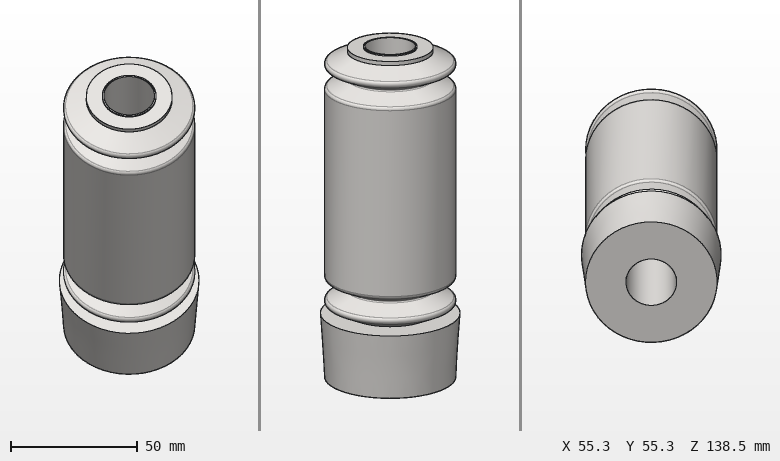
import cadquery as cq
import math

total_height = 138.52
bore_radius = 20 / 2

base_height = 26.75
base_bottom_radius = 52 / 2
base_top_radius = 55.3 / 2
base_neck_radius = 16.6

body_radius = 52 / 2
crest_round = 1.5
neck_radius = 17.25
neck_round = 0.4
half_pitch = 5.3

collar_radius = 34 / 2
collar_height = 1.7
rim_height = 0.5
rim_radius = 21.3 / 2

crest_centre = body_radius - crest_round
neck_centre = neck_radius + neck_round
reach = crest_centre - neck_centre
centre_distance = math.hypot(reach, half_pitch)
flank_angle = math.atan2(half_pitch, reach) - math.asin((crest_round + neck_round) / centre_distance)

crest_tangent_radius = crest_centre + crest_round * math.sin(flank_angle)
crest_tangent_offset = crest_round * math.cos(flank_angle)
neck_tangent_radius = neck_centre - neck_round * math.sin(flank_angle)
neck_tangent_offset = neck_round * math.cos(flank_angle)

shoulder_angle = (math.pi / 2 - flank_angle) / 2
shoulder_mid_radius = crest_centre + crest_round * math.cos(shoulder_angle)
shoulder_mid_offset = crest_round * math.sin(shoulder_angle)


def end_flank_height(end_radius):
    """Height between a crest and the point where its outer flank comes in to end_radius."""
    return crest_tangent_offset + (crest_tangent_radius - end_radius) * math.tan(flank_angle)


collar_top = total_height - rim_height
collar_bottom = collar_top - collar_height
lower_crest = base_height + end_flank_height(base_neck_radius)
lower_neck = lower_crest + half_pitch
barrel_bottom = lower_neck + half_pitch
upper_crest = collar_bottom - end_flank_height(collar_radius)
upper_neck = upper_crest - half_pitch
barrel_top = upper_neck - half_pitch


def add_crest(profile, z):
    """Run up the flank to the ridge at height z and around its rounded crest."""
    return (
        profile.lineTo(crest_tangent_radius, z - crest_tangent_offset)
        .threePointArc((body_radius, z), (crest_tangent_radius, z + crest_tangent_offset))
    )


def add_neck(profile, z):
    """Run along the flank to the neck at height z and around its rounded bottom."""
    return (
        profile.lineTo(neck_tangent_radius, z - neck_tangent_offset)
        .threePointArc((neck_radius, z), (neck_tangent_radius, z + neck_tangent_offset))
    )


def add_barrel(profile):
    """Run up the long cylinder, with a rounded shoulder at each end."""
    return (
        profile.lineTo(crest_tangent_radius, barrel_bottom - crest_tangent_offset)
        .threePointArc(
            (shoulder_mid_radius, barrel_bottom - shoulder_mid_offset),
            (body_radius, barrel_bottom),
        )
        .lineTo(body_radius, barrel_top)
        .threePointArc(
            (shoulder_mid_radius, barrel_top + shoulder_mid_offset),
            (crest_tangent_radius, barrel_top + crest_tangent_offset),
        )
    )


def add_collar(profile):
    """Run up the collar and the bore rim to the edge of the bore."""
    return (
        profile.lineTo(collar_radius, collar_bottom)
        .lineTo(collar_radius, collar_top)
        .lineTo(rim_radius, collar_top)
        .lineTo(rim_radius, total_height)
        .lineTo(bore_radius, total_height)
    )


def turned_body():
    """Revolve the half section, from the through bore outwards, about Z."""
    profile = (
        cq.Workplane("XZ")
        .moveTo(bore_radius, 0)
        .lineTo(base_bottom_radius, 0)
        .lineTo(base_top_radius, base_height)
        .lineTo(base_neck_radius, base_height)
    )
    profile = add_crest(profile, lower_crest)
    profile = add_neck(profile, lower_neck)
    profile = add_barrel(profile)
    profile = add_neck(profile, upper_neck)
    profile = add_crest(profile, upper_crest)
    profile = add_collar(profile)
    return profile.close().revolve(360, (0, 0, 0), (0, 1, 0))


result = turned_body()